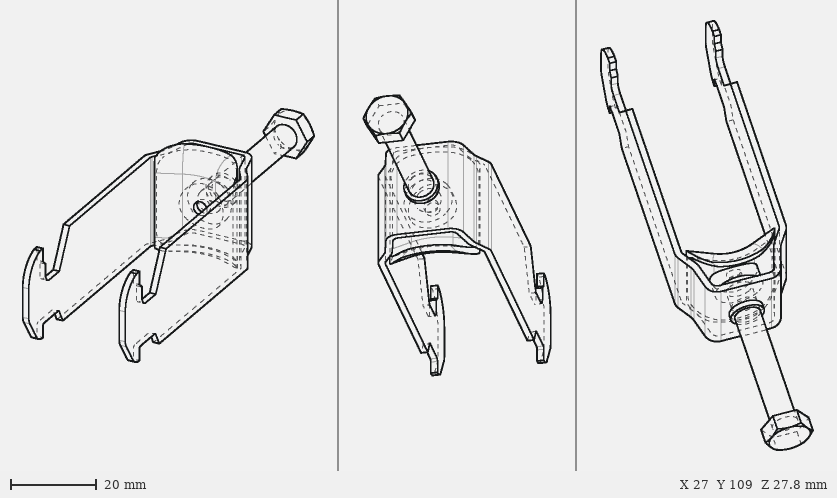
import cadquery as cq
import math


STRAP_WIDTH = 27.0
STRAP_HEIGHT = 23.2
SHEET = 1.6
TOTAL_LENGTH = 109.0
HEAD_TOP_Y = 35.9
LEG_END_Y = HEAD_TOP_Y - TOTAL_LENGTH
BACK_CORNER_X = 8.6
WAIST_X = 10.7
WAIST_Y = -7.7
SHOULDER_Y = -12.1
BACK_BEND_RADIUS = 3.3
WAIST_BEND_RADIUS = 3.3
SHOULDER_BEND_RADIUS = 2.5

UPPER_SLOT_START_Y = -52.9
UPPER_SLOT_FLOOR_Y = -58.0
UPPER_SLOT_FLOOR_Z = 2.1
UPPER_SLOT_RADIUS = 1.9
UPPER_SLOT_END_Y = -64.7
HOOK_STEP_LOW_Z = 7.0
HOOK_STEP_HIGH_Z = 8.2
HOOK_BACK_Y = -66.0
NOSE_RADIUS = 7.6
NOSE_CENTRE_Z = 4.3
LOWER_NOSE_Z = -4.4
LOWER_NOSE_RADIUS = 2.7
LOWER_CHAMFER_Y = -69.2
LOWER_CHAMFER_Z = -10.2
LOWER_CURVE_RADIUS = 3.8
LOWER_SLOT_FLOOR_Z = -8.1
LOWER_SLOT_FLOOR_Y = -58.2
LOWER_SLOT_START_Y = -56.2
LOWER_SLOT_RADIUS = 0.5

COLLAR_DIAMETER = 8.2
COLLAR_HEIGHT = 1.3

SHANK_DIAMETER = 6.2
HEAD_ACROSS_FLATS = 10.0
HEAD_ACROSS_CORNERS = HEAD_ACROSS_FLATS / math.cos(math.radians(30))
HEAD_HEIGHT = 4.0
HEAD_CHAMFER_ANGLE = 30.0
FOOT_DIAMETER = 11.5
FOOT_TOP_Y = -5.9

SADDLE_SHEET = 1.5
SADDLE_HEIGHT = 27.8
STRAIGHT_HEIGHT = 16.8
RIM_ANGLE = 80.0
RIM_TRIM_RADIUS = 11.4
RIM_TOP_Y = -5.0
CROWN_Y = -10.2
ARCH_RADIUS = 11.1
WING_ANGLE = 23.0
WING_END_X = 10.4
HOLE_DIAMETER = 3.5
ARCH_AXIS_Y = CROWN_Y - ARCH_RADIUS


def hook_profile():
    """Side outline of the strap, extruded across its full width."""
    half_height = STRAP_HEIGHT / 2
    nose_centre_y = LEG_END_Y + NOSE_RADIUS
    nose_rise = half_height - NOSE_CENTRE_Z
    nose_start_y = nose_centre_y - math.sqrt(NOSE_RADIUS**2 - nose_rise**2)
    slot_bend = UPPER_SLOT_RADIUS * (1 - math.sqrt(0.5))
    outline = (
        cq.Workplane("YZ")
        .moveTo(0, half_height)
        .lineTo(UPPER_SLOT_START_Y, half_height)
        .lineTo(UPPER_SLOT_FLOOR_Y, UPPER_SLOT_FLOOR_Z)
        .lineTo(UPPER_SLOT_END_Y + UPPER_SLOT_RADIUS, UPPER_SLOT_FLOOR_Z)
        .threePointArc(
            (UPPER_SLOT_END_Y + slot_bend, UPPER_SLOT_FLOOR_Z + slot_bend),
            (UPPER_SLOT_END_Y, UPPER_SLOT_FLOOR_Z + UPPER_SLOT_RADIUS),
        )
        .lineTo(UPPER_SLOT_END_Y, HOOK_STEP_LOW_Z)
        .lineTo(HOOK_BACK_Y, HOOK_STEP_HIGH_Z)
        .lineTo(HOOK_BACK_Y, half_height)
        .lineTo(nose_start_y, half_height)
        .radiusArc((LEG_END_Y, NOSE_CENTRE_Z), -NOSE_RADIUS)
        .lineTo(LEG_END_Y, LOWER_NOSE_Z)
        .lineTo(LOWER_CHAMFER_Y, LOWER_CHAMFER_Z)
        .radiusArc((HOOK_BACK_Y, -half_height), -LOWER_CURVE_RADIUS)
        .lineTo(HOOK_BACK_Y, LOWER_SLOT_FLOOR_Z)
        .lineTo(LOWER_SLOT_FLOOR_Y, LOWER_SLOT_FLOOR_Z)
        .lineTo(LOWER_SLOT_START_Y, -half_height)
        .lineTo(0, -half_height)
        .close()
        .extrude(STRAP_WIDTH / 2, both=True)
    )
    rounded_corners = (
        (HOOK_BACK_Y, LOWER_SLOT_FLOOR_Z, LOWER_SLOT_RADIUS),
        (LOWER_SLOT_FLOOR_Y, LOWER_SLOT_FLOOR_Z, LOWER_SLOT_RADIUS),
        (LEG_END_Y, LOWER_NOSE_Z, LOWER_NOSE_RADIUS),
    )
    for corner_y, corner_z, radius in rounded_corners:
        corner = cq.selectors.NearestToPointSelector((0, corner_y, corner_z))
        outline = outline.edges(corner).fillet(radius)
    return outline


def bent_strip():
    """Bent sheet of constant thickness, closed by a web just beyond the leg ends."""
    half_width = STRAP_WIDTH / 2
    web_y = LEG_END_Y - SHEET
    right_side = [
        (half_width, web_y),
        (half_width, SHOULDER_Y),
        (WAIST_X, WAIST_Y),
        (BACK_CORNER_X, 0),
    ]
    left_side = [(-x, y) for x, y in reversed(right_side)]
    outer = cq.Workplane("XY").polyline(right_side + left_side).close()
    outer = outer.extrude(STRAP_HEIGHT / 2, both=True)
    bends = (
        (BACK_CORNER_X, 0, BACK_BEND_RADIUS),
        (WAIST_X, WAIST_Y, WAIST_BEND_RADIUS),
        (half_width, SHOULDER_Y, SHOULDER_BEND_RADIUS),
    )
    for bend_x, bend_y, radius in bends:
        for side in (-1, 1):
            corner = cq.selectors.NearestToPointSelector((side * bend_x, bend_y, 0))
            outer = outer.edges(corner).fillet(radius)
    inner_outline = outer.faces(">Z").wires().toPending().offset2D(-SHEET)
    inner = inner_outline.extrude(-STRAP_HEIGHT, combine=False)
    return outer.cut(inner)


def along_y(diameter, start_y, end_y):
    """Cylinder on the screw axis."""
    return (
        cq.Workplane("XZ", origin=(0, start_y, 0))
        .circle(diameter / 2)
        .extrude(start_y - end_y)
    )


def make_strap():
    """Bent strip cut to its hooked outline, with a collared hole for the screw."""
    strap = bent_strip().intersect(hook_profile())
    strap = strap.union(along_y(COLLAR_DIAMETER, -SHEET / 2, COLLAR_HEIGHT))
    return strap.cut(along_y(SHANK_DIAMETER, -SHEET, COLLAR_HEIGHT))


def hex_head():
    """Hexagon with corners on the X axis, its free end turned to a shallow cone."""
    head = (
        cq.Workplane("XZ", origin=(0, HEAD_TOP_Y, 0))
        .polygon(6, HEAD_ACROSS_CORNERS)
        .extrude(HEAD_HEIGHT)
    )
    top_radius = HEAD_ACROSS_FLATS / 2
    base_y = HEAD_TOP_Y - HEAD_HEIGHT
    base_radius = top_radius + HEAD_HEIGHT / math.tan(math.radians(HEAD_CHAMFER_ANGLE))
    cone = (
        cq.Workplane("XY")
        .polyline([(0, base_y), (base_radius, base_y), (top_radius, HEAD_TOP_Y), (0, HEAD_TOP_Y)])
        .close()
        .revolve(360, (0, 0), (0, 1))
    )
    return head.intersect(cone)


def rim_section(plane, inner_face):
    """Saddle sheet cut across: a straight web with both ends rolled outwards.

    The first axis of the plane points out of the arch, the second along Z.
    """
    angle = math.radians(RIM_ANGLE)
    bend_z = STRAIGHT_HEIGHT / 2
    roll_radius = (SADDLE_HEIGHT / 2 - bend_z) / math.sin(angle)
    roll_centre = inner_face + roll_radius

    def on_roll(radius, turn, side):
        return (roll_centre - radius * math.cos(turn), side * (bend_z + radius * math.sin(turn)))

    small = roll_radius - SADDLE_SHEET
    return (
        cq.Workplane(plane)
        .moveTo(*on_roll(roll_radius, 0, -1))
        .lineTo(*on_roll(roll_radius, 0, 1))
        .threePointArc(on_roll(roll_radius, angle / 2, 1), on_roll(roll_radius, angle, 1))
        .lineTo(*on_roll(small, angle, 1))
        .threePointArc(on_roll(small, angle / 2, 1), on_roll(small, 0, 1))
        .lineTo(*on_roll(small, 0, -1))
        .threePointArc(on_roll(small, angle / 2, -1), on_roll(small, angle, -1))
        .lineTo(*on_roll(roll_radius, angle, -1))
        .threePointArc(on_roll(roll_radius, angle / 2, -1), on_roll(roll_radius, 0, -1))
        .close()
    )


def make_saddle():
    """Revolved arch with a straight wing on each side, its rims trimmed to a cylinder along Z."""
    angle = math.radians(WING_ANGLE)
    axis_point = (0, ARCH_AXIS_Y, 0)
    wing_length = (WING_END_X - ARCH_RADIUS * math.sin(angle)) / math.cos(angle)

    def radial_plane(side):
        outward = (side * math.sin(angle), math.cos(angle), 0)
        normal = (math.cos(angle), -side * math.sin(angle), 0)
        return cq.Plane(origin=axis_point, xDir=outward, normal=normal)

    saddle = rim_section(radial_plane(1), ARCH_RADIUS).revolve(2 * WING_ANGLE, (0, 0), (0, 1))
    for side in (-1, 1):
        wing = rim_section(radial_plane(side), ARCH_RADIUS).extrude(side * wing_length)
        saddle = saddle.union(wing)
    rim_trim = (
        cq.Workplane("XY", origin=(0, RIM_TOP_Y - RIM_TRIM_RADIUS, 0))
        .circle(RIM_TRIM_RADIUS)
        .extrude(SADDLE_HEIGHT / 2, both=True)
    )
    return saddle.intersect(rim_trim)


def make_pressure_screw():
    """Screw and saddle in one piece; the foot sinks into the arch up to its rim."""
    outer_arch = ARCH_RADIUS + SADDLE_SHEET
    foot_base_y = ARCH_AXIS_Y + math.sqrt(outer_arch**2 - (FOOT_DIAMETER / 2) ** 2)
    shank = along_y(SHANK_DIAMETER, FOOT_TOP_Y, HEAD_TOP_Y - HEAD_HEIGHT)
    foot = along_y(FOOT_DIAMETER, foot_base_y, FOOT_TOP_Y)
    blind_hole = along_y(HOLE_DIAMETER, ARCH_AXIS_Y, CROWN_Y + SADDLE_SHEET)
    return make_saddle().union(foot).union(shank).union(hex_head()).cut(blind_hole)


strap = make_strap()
pressure_screw = make_pressure_screw()
result = cq.Compound.makeCompound([strap.val(), pressure_screw.val()])